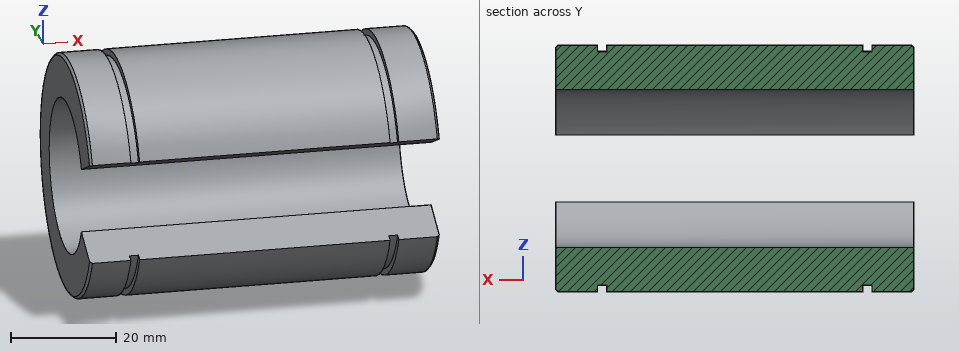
import cadquery as cq
import math

length = 68.0
outer_diameter = 47.0
bore_diameter = 30.0
opening_angle = 50.0
groove_width = 1.7
groove_depth = 1.2
groove_end_distance = 7.95
end_chamfer = 0.5

outer_radius = outer_diameter / 2


def sleeve():
    """Bored cylinder with chamfered outer rims."""
    body = cq.Workplane("YZ").circle(outer_radius).extrude(length / 2, both=True)
    body = body.faces("<X or >X").edges().chamfer(end_chamfer)
    bore = cq.Workplane("YZ").circle(bore_diameter / 2).extrude(length / 2, both=True)
    return body.cut(bore)


def retaining_groove(start_x):
    """Ring of material removed for a retaining ring."""
    return (
        cq.Workplane("YZ", origin=(start_x, 0, 0))
        .circle(outer_radius + groove_depth)
        .circle(outer_radius - groove_depth)
        .extrude(groove_width)
    )


def opening():
    """Wedge with radial sides that splits the sleeve along its length."""
    reach = outer_diameter
    half_width = reach * math.tan(math.radians(opening_angle / 2))
    return (
        cq.Workplane("YZ")
        .polyline([(0, 0), (-reach, half_width), (-reach, -half_width)])
        .close()
        .extrude(length / 2, both=True)
    )


result = sleeve()
first_groove_x = -length / 2 + groove_end_distance
for groove_x in (first_groove_x, -first_groove_x - groove_width):
    result = result.cut(retaining_groove(groove_x))
result = result.cut(opening())